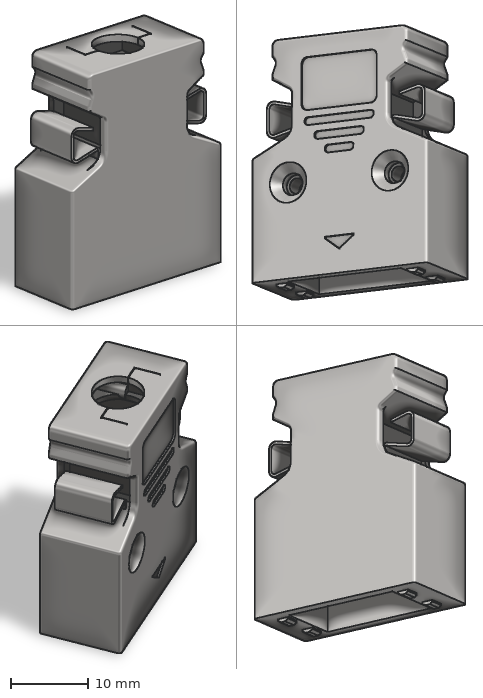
import cadquery as cq
import math

body_depth = 11.5
body_width = 25.9
overall_height = 32.53
foot_height = 0.5
body_height = overall_height - foot_height
half_depth = body_depth / 2
half_width = body_width / 2
edge_radius = 0.42
shoulder_radius = 0.5

shoulder_z = 16.5
shoulder_angle = 25.7
neck_half_width = 7.1
neck_low_radius = 2.0
neck_top_z = 25.1
neck_top_radius = 0.8
lip_angle = 30.0
head_half_width = 10.0
head_corner_radius = 0.9
lip_radius = 0.5
notch_top_z = 29.85
notch_arc_top_z = 29.4
notch_arc_low_z = 28.4
notch_low_z = 27.45
notch_arc_y = 9.65
notch_floor_y = 9.5

shoulder_slope = math.tan(math.radians(shoulder_angle))
lip_slope = math.tan(math.radians(lip_angle))
neck_base_z = shoulder_z + (half_width - neck_half_width) * shoulder_slope
lip_z = neck_top_z + (head_half_width - neck_half_width) * lip_slope

cable_diameter = 6.85
roof_thickness = 1.0
chamber_floor_z = 28.5
floor_opening_diameter = 8.2
chamber_half_depth = 4.75
chamber_half_width = 4.9
chamber_rib_radius = 1.1
chamber_rib_start_x = 0.6
passage_half_depth = 4.25
passage_half_width = 4.0
passage_top_z = 27.7
pocket_half_width = 8.3
pocket_height = 9.0
seam_width = 0.1
seam_half_length = 5.7
seam_end_x = -3.6

recess_half_length = 4.6
recess_floor_y = 5.35
recess_low_z = 18.24
recess_bend_z = 19.4
recess_bend_y = 5.8
recess_wall_z = 20.1
latch_length = 8.0
latch_center_x = 0.1
latch_outer_y = 11.65
latch_root_y = 6.6
latch_tip_y = 7.9
latch_center_z = 21.86
latch_half_height = 2.7
latch_leg_angle = 13.5
latch_thickness = 0.4
latch_bend_radius = 1.0
latch_tail_radius = 0.6
latch_tail_depth = 0.6

screw_y = 7.5
screw_z = 12.8
countersink_diameter = 5.4
screw_clearance_diameter = 2.9
screw_clearance_depth = 1.1
screw_bore_diameter = 2.05
screw_bore_depth = 5.0

mark_depth = 0.3
panel_width = 11.1
panel_low_z = 22.14
panel_high_z = 29.2
panel_corner_radius = 0.9
grip_slot_height = 1.05
grip_slots = [(10.2, 20.66), (7.3, 18.66), (4.25, 16.7)]
arrow_half_width = 2.13
arrow_top_z = 5.0
arrow_tip_z = 3.2
arrow_edge_height = 0.2

foot_width = 1.95
foot_center_xs = (-2.57, 2.78)
foot_inner_y = 8.8
foot_outer_y = 10.45
foot_tip_inner_y = 9.3
foot_tip_outer_y = 10.05
foot_shoulder_z = -0.2
foot_root_height = 0.5


def mirrored(shape):
    """Return the shape joined with its mirror image across Y = 0."""
    return shape.union(shape.mirror("XZ"))


def extrude_profile(profile, length):
    """Extrude a YZ profile symmetrically about X = 0."""
    return profile.extrude(length).translate((-length / 2, 0, 0))


def box_between(x0, x1, y0, y1, z0, z1):
    return cq.Workplane("XY").box(x1 - x0, y1 - y0, z1 - z0, centered=False).translate((x0, y0, z0))


def make_body():
    profile = (
        cq.Workplane("YZ")
        .moveTo(0, 0)
        .lineTo(half_width, 0)
        .lineTo(half_width, shoulder_z)
        .lineTo(neck_half_width, neck_base_z)
        .lineTo(neck_half_width, neck_top_z)
        .lineTo(head_half_width, lip_z)
        .lineTo(head_half_width, notch_low_z)
        .lineTo(notch_arc_y, notch_arc_low_z)
        .threePointArc(
            (notch_floor_y, (notch_arc_low_z + notch_arc_top_z) / 2),
            (notch_arc_y, notch_arc_top_z),
        )
        .lineTo(head_half_width, notch_top_z)
        .lineTo(head_half_width, body_height)
        .lineTo(0, body_height)
        .close()
    )
    body = mirrored(extrude_profile(profile, body_depth))
    for y, z, radius in (
        (half_width, shoulder_z, shoulder_radius),
        (neck_half_width, neck_base_z, neck_low_radius),
        (neck_half_width, neck_top_z, neck_top_radius),
        (head_half_width, notch_low_z, lip_radius),
        (head_half_width, body_height, head_corner_radius),
    ):
        for side in (-1, 1):
            corner = cq.selectors.NearestToPointSelector((0, side * y, z))
            body = body.edges("|X").edges(corner).fillet(radius)
    rim = body.faces("<X or >X").edges().edges(cq.selectors.BoxSelector(
        (-body_depth, -body_width, edge_radius),
        (body_depth, body_width, 2 * body_height),
    ))
    return rim.fillet(edge_radius)


def make_interior():
    """Cable entry, strain-relief chamber, passage and connector pocket."""
    entry = (
        cq.Workplane("XY")
        .workplane(offset=passage_top_z)
        .circle(cable_diameter / 2)
        .extrude(body_height)
    )
    chamber = box_between(
        -chamber_half_depth, chamber_half_depth,
        -chamber_half_width, chamber_half_width,
        chamber_floor_z, body_height - roof_thickness,
    )
    rib = (
        cq.Workplane("YZ")
        .center(chamber_half_width, chamber_floor_z)
        .circle(chamber_rib_radius)
        .extrude(chamber_half_depth - chamber_rib_start_x)
        .translate((chamber_rib_start_x, 0, 0))
    )
    floor_opening = (
        cq.Workplane("XY")
        .workplane(offset=passage_top_z)
        .circle(floor_opening_diameter / 2)
        .extrude(chamber_floor_z - passage_top_z)
    )
    passage = box_between(
        -passage_half_depth, passage_half_depth,
        -passage_half_width, passage_half_width,
        0, passage_top_z,
    )
    pocket = box_between(
        -passage_half_depth, passage_half_depth,
        -pocket_half_width, pocket_half_width,
        0, pocket_height,
    )
    rooms = chamber.union(floor_opening).union(passage).union(pocket)
    return rooms.cut(mirrored(rib)).union(entry)


def make_seam():
    """Narrow gap through the roof where the two halves of the hood meet."""
    low_z = body_height - roof_thickness
    half_gap = seam_width / 2
    along_y = box_between(-half_gap, half_gap, 0, seam_half_length, low_z, body_height)
    along_x = box_between(
        seam_end_x, half_gap,
        seam_half_length - seam_width, seam_half_length,
        low_z, body_height,
    )
    return mirrored(along_y.union(along_x))


def make_latch_recess():
    """Recess in the neck whose ceiling continues the underside of the lip."""
    ceiling_z = neck_top_z - (neck_half_width - recess_floor_y) * lip_slope
    shoulder_y = half_width - (recess_low_z - shoulder_z) / shoulder_slope
    profile = (
        cq.Workplane("YZ")
        .moveTo(shoulder_y, recess_low_z)
        .lineTo(recess_bend_y, recess_bend_z)
        .lineTo(recess_floor_y, recess_wall_z)
        .lineTo(recess_floor_y, ceiling_z)
        .lineTo(shoulder_y, neck_top_z + (shoulder_y - neck_half_width) * lip_slope)
        .close()
    )
    return mirrored(extrude_profile(profile, 2 * recess_half_length))


def make_latch():
    """Bent sheet-metal spring rooted in the recess floor, open towards its tip."""
    leg_slope = math.tan(math.radians(latch_leg_angle))
    root_low_z = latch_center_z - latch_half_height + (latch_outer_y - latch_root_y) * leg_slope
    inner_y = latch_root_y - 2 * latch_thickness
    inner_half_height = latch_half_height - (latch_outer_y - inner_y) * leg_slope
    outline = [
        (inner_y, latch_center_z - inner_half_height),
        (latch_outer_y, latch_center_z - latch_half_height),
        (latch_outer_y, latch_center_z + latch_half_height),
        (inner_y, latch_center_z + inner_half_height),
    ]
    half_length = latch_length / 2
    solid = extrude_profile(cq.Workplane("YZ").polyline(outline).close(), latch_length)
    solid = solid.faces(">Y").edges("|X").fillet(latch_bend_radius)
    inner_outline = cq.Workplane("YZ").polyline(outline).close().offset2D(-latch_thickness, "intersection")
    hollow = extrude_profile(inner_outline, latch_length)
    hollow = hollow.faces(">Y").edges("|X").fillet(latch_bend_radius - latch_thickness)
    opening = box_between(
        -half_length, half_length,
        latch_root_y, latch_tip_y,
        latch_center_z, latch_center_z + latch_half_height,
    )
    behind_root = box_between(
        -half_length, half_length,
        inner_y, latch_root_y,
        latch_center_z - latch_half_height, latch_center_z + latch_half_height,
    )
    tail = box_between(
        -half_length, half_length,
        latch_root_y, latch_root_y + latch_thickness,
        recess_bend_z - latch_tail_depth, root_low_z + latch_thickness / 2,
    )
    latch = solid.cut(hollow).cut(opening).cut(behind_root).union(tail)
    root_corner = cq.selectors.NearestToPointSelector((0, latch_root_y, root_low_z + latch_thickness))
    latch = latch.edges("|X").edges(root_corner).fillet(latch_tail_radius)
    return mirrored(latch).translate((latch_center_x, 0, 0))


def make_screw_holes():
    """Countersunk stepped blind holes, turned about their X axis."""
    outer = countersink_diameter / 2
    clearance = screw_clearance_diameter / 2
    bore = screw_bore_diameter / 2
    cone_depth = outer - clearance
    step_depth = cone_depth + screw_clearance_depth
    profile = (
        cq.Workplane("XY")
        .polyline([
            (0, 0),
            (0, outer),
            (cone_depth, clearance),
            (step_depth, clearance),
            (step_depth, bore),
            (screw_bore_depth, bore),
            (screw_bore_depth, 0),
        ])
        .close()
    )
    hole = profile.revolve(360, (0, 0, 0), (1, 0, 0))
    return mirrored(hole.translate((-half_depth, screw_y, screw_z)))


def make_marks():
    """Shallow panel, grip slots and arrow sunk into the -X face."""
    face = cq.Workplane("YZ", origin=(-half_depth, 0, 0))
    panel = (
        face.center(0, (panel_low_z + panel_high_z) / 2)
        .rect(panel_width, panel_high_z - panel_low_z)
        .extrude(mark_depth)
        .edges("|X")
        .fillet(panel_corner_radius)
    )
    arrow = (
        face.polyline([
            (-arrow_half_width, arrow_top_z),
            (arrow_half_width, arrow_top_z),
            (arrow_half_width, arrow_top_z - arrow_edge_height),
            (0, arrow_tip_z),
            (-arrow_half_width, arrow_top_z - arrow_edge_height),
        ])
        .close()
        .extrude(mark_depth)
    )
    marks = panel.union(arrow)
    for length, center_z in grip_slots:
        slot = face.center(0, center_z).slot2D(length, grip_slot_height).extrude(mark_depth)
        marks = marks.union(slot)
    return marks


def make_feet():
    profile = (
        cq.Workplane("YZ")
        .polyline([
            (foot_inner_y, foot_root_height),
            (foot_inner_y, foot_shoulder_z),
            (foot_tip_inner_y, -foot_height),
            (foot_tip_outer_y, -foot_height),
            (foot_outer_y, foot_shoulder_z),
            (foot_outer_y, foot_root_height),
        ])
        .close()
    )
    foot = mirrored(extrude_profile(profile, foot_width))
    left_x, right_x = foot_center_xs
    return foot.translate((left_x, 0, 0)).union(foot.translate((right_x, 0, 0)))


result = (
    make_body()
    .cut(make_interior())
    .cut(make_seam())
    .cut(make_latch_recess())
    .cut(make_screw_holes())
    .cut(make_marks())
    .union(make_latch())
    .union(make_feet())
)